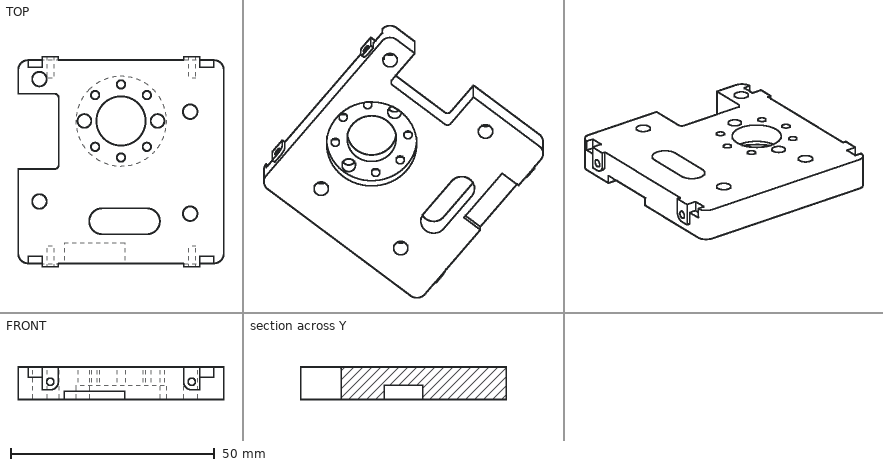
import cadquery as cq
import math

plate_width = 50.5
overall_depth = 51.6
thickness = 8.0
tab_projection = 0.8
plate_depth = overall_depth - 2 * tab_projection
corner_radius = 2.5

notch_depth = 9.95
notch_front_y = -1.75
notch_back_y = 16.65
notch_radius = 1.0

motor_y = 10.0
bore_diameter = 12.0
recess_diameter = 22.15
recess_depth = 3.5
ring_radius = 9.0
screw_diameter = 2.0
side_hole_diameter = 3.3
ring_count = 8

mount_diameter = 3.5
mount_points = [(-20.0, 20.3), (-20.0, -9.75), (17.0, 12.3), (17.0, -12.75)]

slot_length = 17.3
slot_width = 6.3
slot_x = 0.9
slot_y = -14.6

channel_width = 14.95
channel_x = -6.5
channel_height = 2.05
channel_length = 5.15

tab_width = 3.95
tab_height = 5.6
tab_outer_x = 19.35
tab_hole_diameter = 1.8
tab_hole_depth = 5.15
tab_round_radius = tab_width / 2
tab_x = tab_outer_x - tab_width / 2
tab_hole_z = thickness - tab_height + tab_round_radius
pocket_depth = 1.8
pocket_height = 2.5
pocket_outer_x = plate_width / 2 - corner_radius


def box_between(x_range, y_range, z_range):
    """Box spanning the given (low, high) ranges."""
    sizes = [high - low for low, high in (x_range, y_range, z_range)]
    origin = (x_range[0], y_range[0], z_range[0])
    return cq.Workplane("XY").box(*sizes, centered=False).translate(origin)


def through_holes(points, diameter):
    """Vertical cylinders through the full plate thickness."""
    return cq.Workplane("XY").pushPoints(points).circle(diameter / 2).extrude(thickness)


def make_plate():
    plate = cq.Workplane("XY").rect(plate_width, plate_depth).extrude(thickness)
    plate = plate.edges("|Z").fillet(corner_radius)
    left = -plate_width / 2
    notch = box_between(
        (left, left + notch_depth), (notch_front_y, notch_back_y), (0, thickness)
    )
    return plate.cut(notch.edges("|Z and >X").fillet(notch_radius))


def cut_motor_mount(body):
    screw_points = []
    side_points = []
    for index in range(ring_count):
        angle = 2 * math.pi * index / ring_count
        point = (ring_radius * math.cos(angle), motor_y + ring_radius * math.sin(angle))
        on_x_axis = index % (ring_count // 2) == 0
        (side_points if on_x_axis else screw_points).append(point)
    center = [(0, motor_y)]
    recess = cq.Workplane("XY").pushPoints(center).circle(recess_diameter / 2).extrude(recess_depth)
    body = body.cut(through_holes(center, bore_diameter)).cut(recess)
    body = body.cut(through_holes(screw_points, screw_diameter))
    return body.cut(through_holes(side_points, side_hole_diameter))


def cut_slot(body):
    slot = cq.Workplane("XY").center(slot_x, slot_y).slot2D(slot_length, slot_width)
    return body.cut(slot.extrude(thickness))


def cut_channel(body):
    x_range = (channel_x - channel_width / 2, channel_x + channel_width / 2)
    y_range = (-plate_depth / 2, -plate_depth / 2 + channel_length)
    return body.cut(box_between(x_range, y_range, (0, channel_height)))


def front_right_tab():
    tab = box_between(
        (tab_outer_x - tab_width, tab_outer_x),
        (-overall_depth / 2, -plate_depth / 2),
        (thickness - tab_height, thickness),
    )
    return tab.edges("|Y and <X and <Z").fillet(tab_round_radius)


def front_right_tab_cuts():
    edge_y = -plate_depth / 2
    pocket = box_between(
        (tab_outer_x, pocket_outer_x),
        (edge_y, edge_y + pocket_depth),
        (thickness - pocket_height, thickness),
    )
    pin_hole = cq.Workplane("XZ", origin=(tab_x, -overall_depth / 2, tab_hole_z))
    return pocket.union(pin_hole.circle(tab_hole_diameter / 2).extrude(-tab_hole_depth))


def at_four_corners(shape):
    """The shape with its mirror images across the XZ and YZ planes."""
    front = shape.union(shape.mirror("YZ"))
    return front.union(front.mirror("XZ"))


result = make_plate()
result = cut_motor_mount(result)
result = result.cut(through_holes(mount_points, mount_diameter))
result = cut_slot(result)
result = cut_channel(result)
result = result.union(at_four_corners(front_right_tab()))
result = result.cut(at_four_corners(front_right_tab_cuts()))